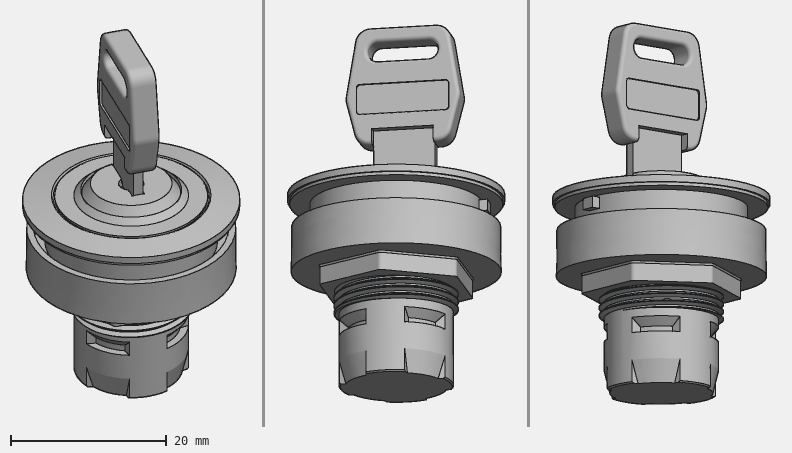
import cadquery as cq
import math


notch_top = 3.0
window_bottom = 6.6
window_top = 8.6
thread_bottom = 9.7
nut_bottom = 12.75
collar_bottom = 15.35
collar_seam = 19.4
collar_top = 21.4
bezel_bottom = 24.4
bezel_step = 24.8
bezel_rim_top = 25.7
bezel_top = 26.3
dome_step = 27.1
lock_face = 28.1
key_bottom_of_head = 32.1
overall_height = 47.65

body_radius = 14.7 / 2
body_bottom_chamfer = 0.2
pocket_floor_radius = 12.65 / 2
pocket_mouth_half_width = 3.1
pocket_wall_spread = 1.5
window_roof_drop = 1.15
notch_bottom_radius = 6.6
cut_clearance = 0.5

thread_radius = 16.0 / 2
thread_pitch = 1.0
thread_crest_flat = 0.1
thread_base_width = 0.9
thread_lead_in = 0.9
thread_root_overlap = 0.15

nut_across_flats = 18.0
nut_corner_radius = 0.52
nut_flare_height = 0.3
nut_flare_width = 0.1

collar_radius = 26.85 / 2
collar_flared_radius = 27.0 / 2
collar_bore_radius = 25.0 / 2
neck_radius = 22.2 / 2
tab_reach = 12.15
tab_width = 1.95
tab_bottom = 22.62
tab_top = 24.1

bezel_radius = 27.9 / 2
bezel_lower_radius = 27.4 / 2
bezel_land_radius = 10.25
groove_outer_radius = 20.05 / 2
groove_inner_radius = 19.65 / 2
groove_depth = 0.3
dome_base_radius = 14.7 / 2
dome_top_radius = 6.5
lock_radius = 12.65 / 2
lock_face_radius = 5.25
lock_edge_depth = 0.4

keyway_width = 1.65
keyway_depth = 0.6
keyhole_radius = 1.6
keyhole_depth = 1.2

key_center_x = -1.2
blade_width = 8.05
blade_thickness = 1.35
blade_pocket_top = 34.15
head_thickness = 3.65
head_end_half_width = 5.95
head_middle_half_width = 7.53
head_middle_z = 38.25
head_corner_radius = 2.0
head_edge_radius = 0.52
finger_slot_length = 9.15
finger_slot_height = 2.52
finger_slot_z = 44.45
label_width = 12.1
label_bottom = 36.15
label_top = 40.15
label_corner_radius = 0.5
label_depth = 0.3


def revolved(points):
    """Solid of revolution about Z from a profile of (radius, z) points."""
    return cq.Workplane("XZ").polyline(points).close().revolve(360, (0, 0, 0), (0, 1, 0))


def cylinder(radius, bottom, top):
    return cq.Workplane("XY").workplane(offset=bottom).circle(radius).extrude(top - bottom)


def box_between(x_min, x_max, width_y, bottom, top):
    """Box centred on the XZ plane."""
    length = x_max - x_min
    return (
        cq.Workplane("XY")
        .workplane(offset=bottom)
        .center((x_min + x_max) / 2, 0)
        .rect(length, width_y)
        .extrude(top - bottom)
    )


def pocket_wedge(angle):
    """Upright wedge whose side walls bound the pockets facing the given angle."""
    mouth_distance = math.sqrt(body_radius**2 - pocket_mouth_half_width**2)
    outer = body_radius + cut_clearance
    inner = mouth_distance - pocket_mouth_half_width / pocket_wall_spread
    outer_half_width = (outer - inner) * pocket_wall_spread
    return (
        cq.Workplane("XY")
        .polyline([(inner, 0), (outer, -outer_half_width), (outer, outer_half_width)])
        .close()
        .extrude(window_top)
        .rotate((0, 0, 0), (0, 0, 1), angle)
    )


def make_lower_body():
    body = cylinder(body_radius, 0, collar_bottom).faces("<Z").chamfer(body_bottom_chamfer)
    clear_radius = body_radius + cut_clearance
    window_ring = revolved([
        (pocket_floor_radius, window_bottom),
        (clear_radius, window_bottom),
        (clear_radius, window_top),
        (body_radius, window_top),
        (pocket_floor_radius, window_top - window_roof_drop),
    ])
    notch_ring = revolved([
        (notch_bottom_radius, 0),
        (clear_radius, 0),
        (clear_radius, notch_top),
        (body_radius, notch_top),
    ])
    for angle in (45, 135, 225, 315):
        wedge = pocket_wedge(angle)
        body = body.cut(window_ring.intersect(wedge))
        body = body.cut(notch_ring.intersect(wedge))
    return body


def make_thread():
    """Right-hand ridge wound on the body, trimmed below and running up into the nut."""
    start = thread_bottom - thread_lead_in
    trimmed_top = nut_bottom + thread_pitch / 2
    root_radius = body_radius - thread_root_overlap
    half_base = thread_base_width / 2
    half_crest = thread_crest_flat / 2
    path = cq.Wire.makeHelix(thread_pitch, trimmed_top + thread_pitch - start, body_radius)
    ridge = (
        cq.Workplane("XZ")
        .polyline([
            (root_radius, -half_base),
            (thread_radius, -half_crest),
            (thread_radius, half_crest),
            (root_radius, half_base),
        ])
        .close()
        .sweep(cq.Workplane(path), isFrenet=True)
        .translate((0, 0, start))
    )
    return ridge.intersect(cylinder(thread_radius + cut_clearance, thread_bottom, trimmed_top))


def nut_outline(across_flats, level):
    """Rounded hexagon with two corners on the Y axis."""
    corner_distance = across_flats / 2 / math.cos(math.radians(30))
    hexagon = cq.Sketch().regularPolygon(corner_distance, 6).vertices().fillet(nut_corner_radius)
    return hexagon.moved(cq.Location(cq.Vector(0, 0, level)))


def make_nut():
    """Hexagon nut that flares slightly where it meets the collar."""
    flare_bottom = collar_bottom - nut_flare_height
    flared_flats = nut_across_flats + 2 * nut_flare_width
    flare_start = nut_outline(nut_across_flats, flare_bottom)
    flare_end = nut_outline(flared_flats, collar_bottom)
    flare = cq.Workplane("XY").placeSketch(flare_start, flare_end).loft()
    straight_part = (
        cq.Workplane("XY")
        .placeSketch(nut_outline(nut_across_flats, nut_bottom))
        .extrude(flare_bottom - nut_bottom)
    )
    return straight_part.union(flare)


def make_housing():
    """Collar, neck, bezel, dome and lock face as one turned shape."""
    return revolved([
        (0, collar_bottom),
        (collar_flared_radius, collar_bottom),
        (collar_radius, collar_seam),
        (collar_radius, collar_top),
        (collar_bore_radius, collar_top),
        (collar_bore_radius, collar_seam),
        (neck_radius, collar_seam),
        (neck_radius, bezel_bottom),
        (bezel_lower_radius, bezel_bottom),
        (bezel_lower_radius, bezel_step),
        (bezel_radius, bezel_step),
        (bezel_radius, bezel_rim_top),
        (bezel_land_radius, bezel_top),
        (groove_outer_radius, bezel_top - groove_depth),
        (groove_inner_radius, bezel_top - groove_depth),
        (groove_inner_radius, bezel_top),
        (dome_base_radius, bezel_top),
        (dome_top_radius, dome_step),
        (lock_radius, dome_step - lock_edge_depth),
        (lock_face_radius, lock_face),
        (0, lock_face),
    ])


def make_keyway():
    """Slot open toward -X with a round hole on the axis."""
    floor = lock_face - keyway_depth
    slot = box_between(-lock_radius, key_center_x + blade_width / 2, keyway_width, floor, lock_face)
    return slot.union(cylinder(keyhole_radius, lock_face - keyhole_depth, lock_face))


def key_plane(y):
    """Plane facing -Y at the given y, with its origin on the middle line of the key."""
    return cq.Workplane(cq.Plane((key_center_x, y, 0), (1, 0, 0), (0, -1, 0)))


def make_key_head():
    half_thickness = head_thickness / 2
    head = (
        key_plane(half_thickness)
        .polyline([
            (-head_end_half_width, key_bottom_of_head),
            (head_end_half_width, key_bottom_of_head),
            (head_middle_half_width, head_middle_z),
            (head_end_half_width, overall_height),
            (-head_end_half_width, overall_height),
            (-head_middle_half_width, head_middle_z),
        ])
        .close()
        .extrude(head_thickness)
        .edges("|Y")
        .fillet(head_corner_radius)
    )
    finger_slot = (
        key_plane(half_thickness)
        .center(0, finger_slot_z)
        .slot2D(finger_slot_length, finger_slot_height)
        .extrude(head_thickness)
    )
    head = head.cut(finger_slot).faces("<Y or >Y").edges().fillet(head_edge_radius)

    label_height = label_top - label_bottom
    pocket_depth = half_thickness - blade_thickness / 2
    pocket_height = blade_pocket_top - key_bottom_of_head
    for face_y, depth_sign in ((-half_thickness, -1), (half_thickness, 1)):
        label = (
            key_plane(face_y)
            .center(0, (label_bottom + label_top) / 2)
            .rect(label_width, label_height)
            .extrude(depth_sign * label_depth)
            .edges("|Y")
            .fillet(label_corner_radius)
        )
        blade_pocket = (
            key_plane(face_y)
            .center(0, key_bottom_of_head + pocket_height / 2)
            .rect(blade_width, pocket_height)
            .extrude(depth_sign * pocket_depth)
        )
        head = head.cut(label).cut(blade_pocket)
    return head


def make_blade():
    return box_between(
        key_center_x - blade_width / 2,
        key_center_x + blade_width / 2,
        blade_thickness,
        lock_face - keyhole_depth,
        blade_pocket_top,
    )


tab = box_between(-tab_reach, 0, tab_width, tab_bottom, tab_top)
housing = make_housing().union(tab).cut(make_keyway())
lower_end = make_lower_body().union(make_thread()).union(make_nut())
key = make_key_head().union(make_blade())

result = housing.union(lower_end).union(key)